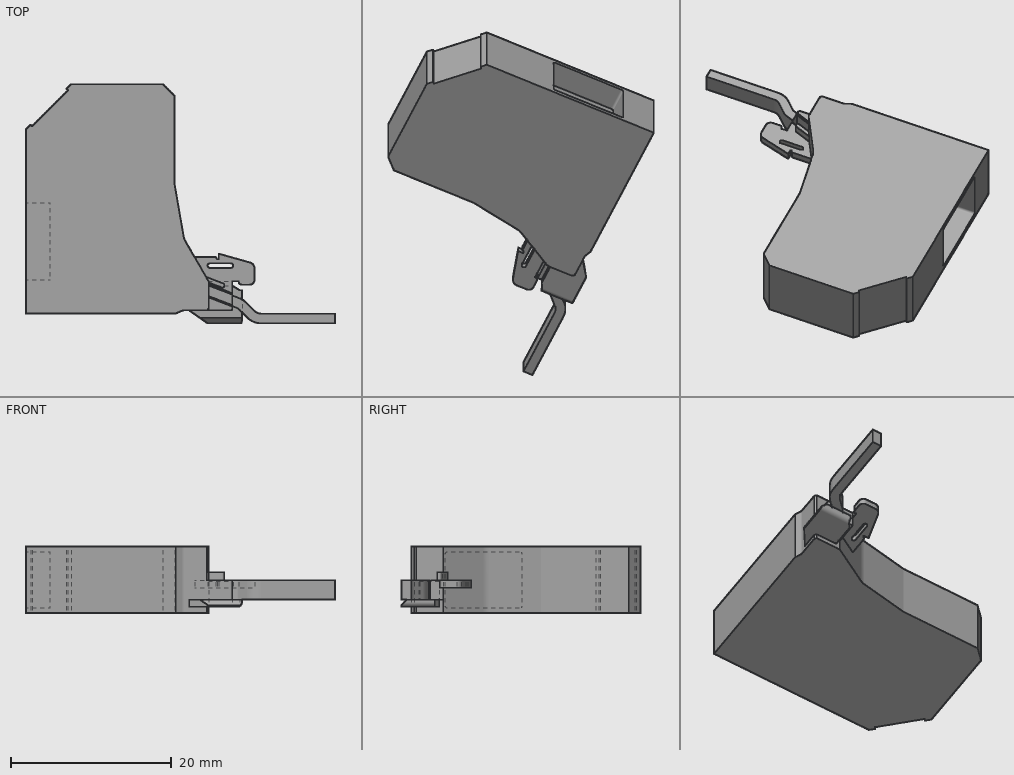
import cadquery as cq
import math

LENGTH = 38.5
HOUSING_WIDTH = 28.55
HOUSING_HEIGHT = 8.3

BACK_X = 18.5
NOSE_X = 22.75
NOSE_Y = 0.4
NOSE_TOP_Y = 4.0
NOSE_BEVEL = 0.25
STEP_START_X = 18.67
STEP_END_X = 19.55
STEP_RADIUS = 0.7
BACK_CHAMFER = 1.45
BACK_BEND_Y = 16.15
WAIST_X = 19.7
WAIST_Y = 9.28
WAIST_RADIUS = 1.85

SLOPE_RUN = 5.62
SLOPE_LIP = 0.58
SLOPE_RECESS = 0.2

POCKET_DEPTH = 3.0
POCKET_Y_MIN = 4.2
POCKET_Y_MAX = 13.8
POCKET_WALL = 0.65
POCKET_RADIUS = 0.3

PIN_BOTTOM = 1.7
PIN_TOP = 4.12
PIN_WIDTH = 1.25
PIN_START_X = 25.7
PIN_START_Y = 1.58
PIN_FIRST_RADIUS = 1.15
PIN_SECOND_RADIUS = 1.85

PIN_FIRST_BEND = (26.7, 1.2)
PIN_STRAIGHT_Y = -PIN_WIDTH / 2
PIN_SECOND_BEND = (PIN_FIRST_BEND[0] + PIN_FIRST_BEND[1] - PIN_STRAIGHT_Y, PIN_STRAIGHT_Y)
ENTRY_ANGLE = math.atan2(PIN_FIRST_BEND[1] - PIN_START_Y, PIN_FIRST_BEND[0] - PIN_START_X)

FOOT_ROOT_X = STEP_END_X
FOOT_END_X = PIN_START_X
FOOT_BACK_Y = 4.0
FOOT_RADIUS = 0.27
SLOT_SHIFT = 0.1
SLOT_CHAMFER = 0.15

HEAD_THICKNESS = 0.95
HEAD_END_X = 28.5
HEAD_BACK_Y = 7.05
HEAD_FRONT_Y = 3.58
HEAD_ROOT_X = 20.4
BARB_X = 24.0
BARB_TIP_Y = 7.45
BARB_NOTCH = 0.27
BARB_NOTCH_WIDTH = 0.35
HEAD_SLOPE_END_Y = 6.2
HEAD_BACK_RADIUS = 0.85
HEAD_FRONT_RADIUS = 0.65
HOOK_X = 26.5
HOOK_RADIUS = 0.4
SLIT_CENTER = (24.2, 5.95)
SLIT_LENGTH = 3.15
SLIT_WIDTH = 0.55

RIB_TOP = 5.12
RIB_END_X = 24.8
RIB_END_Y = 3.65
RIB_WIDTH = 0.55
RIB_LENGTH = 3.08
RIB_RADIUS = 0.25

CLIP_BOTTOM = 0.77
CLIP_END_X = 26.9
CLIP_ROOT_X = 20.33
CLIP_TIP_X = 22.65
CLIP_FRONT_Y = -PIN_WIDTH
CLIP_BACK_Y = 3.45
CLIP_CORNER_X = 26.6
CLIP_CORNER_Y = 2.93
CLIP_CHAMFER = 0.7
CLIP_END_RADIUS = 0.6


def plate(points, bottom, top):
    """Flat plate with the given outline between two heights."""
    return cq.Workplane("XY").workplane(offset=bottom).polyline(points).close().extrude(top - bottom)


def round_corner(solid, point, radius):
    """Round the upright edge that passes through a point of the outline."""
    x, y = point
    reach = 0.02
    picker = cq.selectors.BoxSelector((x - reach, y - reach, -LENGTH), (x + reach, y + reach, LENGTH))
    return solid.edges("|Z").edges(picker).fillet(radius)


def make_housing():
    slope_y = HOUSING_WIDTH - SLOPE_RUN
    step = (STEP_END_X, NOSE_Y)
    waist = (WAIST_X, WAIST_Y)
    outline = [
        (0, 0),
        (STEP_START_X, 0),
        step,
        (NOSE_X - NOSE_BEVEL, NOSE_Y),
        (NOSE_X, NOSE_Y + NOSE_BEVEL),
        (NOSE_X, NOSE_TOP_Y),
        waist,
        (BACK_X, BACK_BEND_Y),
        (BACK_X, HOUSING_WIDTH - BACK_CHAMFER),
        (BACK_X - BACK_CHAMFER, HOUSING_WIDTH),
        (SLOPE_RUN, HOUSING_WIDTH),
        (SLOPE_RUN - SLOPE_LIP, HOUSING_WIDTH - SLOPE_LIP),
        (SLOPE_RUN - SLOPE_LIP + SLOPE_RECESS, HOUSING_WIDTH - SLOPE_LIP - SLOPE_RECESS),
        (SLOPE_LIP + SLOPE_RECESS, slope_y + SLOPE_LIP - SLOPE_RECESS),
        (SLOPE_LIP, slope_y + SLOPE_LIP),
        (0, slope_y),
    ]
    housing = plate(outline, 0, HOUSING_HEIGHT)
    housing = round_corner(housing, step, STEP_RADIUS)
    housing = round_corner(housing, waist, WAIST_RADIUS)
    return housing.cut(make_pocket())


def make_pocket():
    width = POCKET_Y_MAX - POCKET_Y_MIN
    height = HOUSING_HEIGHT - 2 * POCKET_WALL
    pocket = cq.Workplane("XY").box(POCKET_DEPTH, width, height, centered=False)
    return pocket.edges("|X").fillet(POCKET_RADIUS).translate((0, POCKET_Y_MIN, POCKET_WALL))


def make_foot():
    front_corner = (FOOT_END_X, NOSE_Y)
    outline = [
        (FOOT_ROOT_X, NOSE_Y),
        front_corner,
        (FOOT_END_X, FOOT_BACK_Y),
        (FOOT_ROOT_X, FOOT_BACK_Y),
    ]
    foot = plate(outline, PIN_BOTTOM, PIN_TOP)
    foot = round_corner(foot, front_corner, FOOT_RADIUS)
    return foot.cut(make_slot())


def make_slot():
    """Slanted slot in line with the pin, open at the top with chamfered lips."""
    half = PIN_WIDTH / 2
    wide = half + SLOT_CHAMFER
    overrun = FOOT_END_X - FOOT_ROOT_X
    section = [
        (-half, PIN_BOTTOM),
        (half, PIN_BOTTOM),
        (half, PIN_TOP - SLOT_CHAMFER),
        (wide, PIN_TOP),
        (-wide, PIN_TOP),
        (-half, PIN_TOP - SLOT_CHAMFER),
    ]
    slot = cq.Workplane("YZ").polyline(section).close().extrude(overrun, both=True)
    slot = slot.rotate((0, 0, 0), (0, 0, 1), math.degrees(ENTRY_ANGLE))
    return slot.translate((PIN_START_X, PIN_START_Y + SLOT_SHIFT, 0))


def make_head():
    back_corner = (HEAD_END_X, HEAD_SLOPE_END_Y)
    front_corner = (HEAD_END_X, HEAD_FRONT_Y)
    hook_tip = (HOOK_X, HEAD_FRONT_Y)
    outline = [
        (HEAD_ROOT_X, HEAD_BACK_Y),
        (BARB_X - BARB_NOTCH_WIDTH, HEAD_BACK_Y),
        (BARB_X - BARB_NOTCH_WIDTH / 2, HEAD_BACK_Y - BARB_NOTCH),
        (BARB_X, HEAD_BACK_Y - BARB_NOTCH),
        (BARB_X, BARB_TIP_Y),
        back_corner,
        front_corner,
        hook_tip,
        (HOOK_X, FOOT_BACK_Y),
        (HEAD_ROOT_X, FOOT_BACK_Y),
    ]
    head = plate(outline, PIN_TOP - HEAD_THICKNESS, PIN_TOP)
    head = round_corner(head, back_corner, HEAD_BACK_RADIUS)
    head = round_corner(head, front_corner, HEAD_FRONT_RADIUS)
    head = round_corner(head, hook_tip, HOOK_RADIUS)
    slit = cq.Workplane("XY").center(*SLIT_CENTER).slot2D(SLIT_LENGTH, SLIT_WIDTH).extrude(PIN_TOP)
    return head.cut(slit)


def make_rib():
    """Raised rib that runs from the housing nose parallel to the slot."""
    rib = cq.Workplane("XY").box(RIB_LENGTH, RIB_WIDTH, RIB_TOP - PIN_TOP, centered=False)
    rib = rib.edges("|Z and >X").fillet(RIB_RADIUS)
    rib = rib.translate((-RIB_LENGTH, -RIB_WIDTH, PIN_TOP))
    rib = rib.rotate((0, 0, 0), (0, 0, 1), math.degrees(ENTRY_ANGLE))
    return rib.translate((RIB_END_X, RIB_END_Y, 0))


def pin_edge(side):
    """Three outline corners, without the free end, for one side (+1 back, -1 front) of the pin."""
    half = side * PIN_WIDTH / 2
    directions = [ENTRY_ANGLE, -math.pi / 4, 0]
    points = [(PIN_START_X, PIN_START_Y + half / math.cos(ENTRY_ANGLE))]
    for bend, before, after in zip((PIN_FIRST_BEND, PIN_SECOND_BEND), directions, directions[1:]):
        normal = (before + after + math.pi) / 2
        miter = half / math.cos((after - before) / 2)
        points.append((bend[0] + miter * math.cos(normal), bend[1] + miter * math.sin(normal)))
    return points


def make_pin():
    back = pin_edge(1)
    front = pin_edge(-1)
    outline = back + [(LENGTH, 0), (LENGTH, -PIN_WIDTH)] + front[::-1]
    pin = plate(outline, PIN_BOTTOM, PIN_TOP)
    half = PIN_WIDTH / 2
    pin = round_corner(pin, back[1], PIN_FIRST_RADIUS + half)
    pin = round_corner(pin, front[1], PIN_FIRST_RADIUS - half)
    pin = round_corner(pin, back[2], PIN_SECOND_RADIUS - half)
    pin = round_corner(pin, front[2], PIN_SECOND_RADIUS + half)
    return pin


def make_clip():
    outline = [
        (CLIP_TIP_X, CLIP_FRONT_Y),
        (CLIP_END_X, CLIP_FRONT_Y),
        (CLIP_END_X, CLIP_CORNER_Y),
        (CLIP_CORNER_X, CLIP_CORNER_Y),
        (FOOT_END_X, CLIP_BACK_Y),
        (CLIP_ROOT_X, CLIP_BACK_Y),
        (CLIP_ROOT_X, NOSE_Y),
    ]
    clip = plate(outline, CLIP_BOTTOM, PIN_BOTTOM)
    clip = clip.edges("<Y and >Z").chamfer(CLIP_CHAMFER)
    return clip.edges(">X and <Z").fillet(CLIP_END_RADIUS)


result = make_housing()
for piece in (make_foot(), make_head(), make_rib(), make_clip(), make_pin()):
    result = result.union(piece)